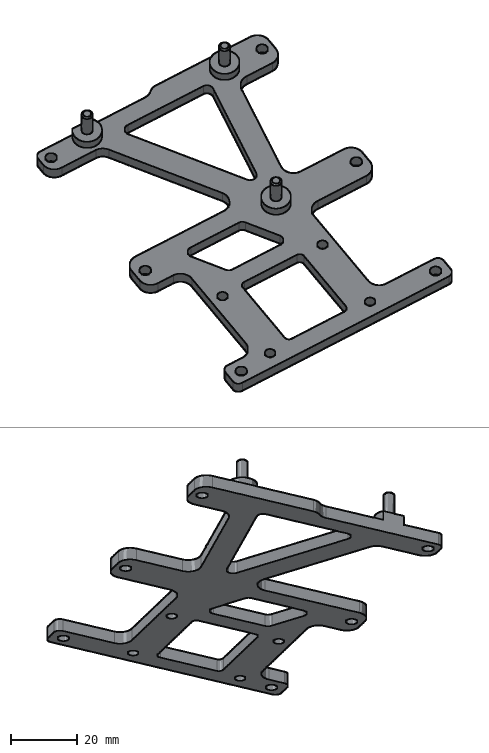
import cadquery as cq
import math


plate_thickness = 4.0
boss_top = 7.0
stud_top = 15.0

outer_radius = 4.0
small_radius = 2.0
window_radius = 1.5

arm_reach = 41.5
arm_hole_y = 38.0
right_arm_reach = 39.25
right_arm_hole_y = 35.0
left_x = -57.57
plate_length = 109.62
right_x = left_x + plate_length
lower_left_x = -55.5
lower_arm_inner_x = -46.75
upper_arm_inner_x = -45.5
middle_left_x = -6.1
middle_right_x = 6.2
right_arm_inner_x = 44.0
left_hole_x = -51.7
right_hole_x = 48.15
arm_hole_diameter = 3.5

step_middle_y = 0.9
step_width = lower_left_x - left_x
step_angle = math.acos(1 - step_width / (2 * outer_radius))
step_corner_rise = step_width / 2 / math.tan(step_angle)

panel_top_y = 16.0
panel_bottom_y = -28.0
web_width = 6.0
window_length = 26.0
window_width = 22.0
window_right_x = right_x - web_width
window_left_x = window_right_x - window_length
window_top_y = 5.0
window_bottom_y = window_top_y - window_width
panel_hole_x = (21.0, 47.15)
panel_hole_y = (12.05, -23.95)
panel_hole_diameter = 3.2

strut_width = 7.9
upper_strut_angle = math.radians(-11.4)
lower_strut_angle = math.radians(30.8)
upper_strut_end_y = 17.1
lower_strut_end_y = 1.25
triangle_left_x = -49.5

slot_left_x = 0.15
slot_right_x = window_left_x - web_width
slot_angle = lower_strut_angle

stud_centers = ((left_hole_x, 24.45), (0.0, 9.1), (-52.6, -24.45))
boss_diameter = 9.0
stud_diameter = 3.4
stud_chamfer = 0.5


def upper_strut_y(x):
    """Outer edge of the upper strut."""
    return upper_strut_end_y + (x - middle_left_x) * math.tan(upper_strut_angle)


def lower_strut_y(x):
    """Outer edge of the lower strut."""
    return lower_strut_end_y + (x - middle_left_x) * math.tan(lower_strut_angle)


def rounded_prism(corners, height):
    """Extrude a closed polygon of (x, y, corner radius) with every corner rounded."""
    arcs = []
    for i, (x, y, radius) in enumerate(corners):
        corner = cq.Vector(x, y)
        before = (cq.Vector(*corners[i - 1][:2]) - corner).normalized()
        after = (cq.Vector(*corners[(i + 1) % len(corners)][:2]) - corner).normalized()
        half_angle = before.getAngle(after) / 2
        setback = radius / math.tan(half_angle)
        middle_distance = radius / math.sin(half_angle) - radius
        middle = corner + (before + after).normalized() * middle_distance
        arcs.append((corner + before * setback, middle, corner + after * setback))

    shortest_line = 1e-4
    edges = []
    for i, (start, middle, end) in enumerate(arcs):
        previous_end = arcs[i - 1][2]
        if (start - previous_end).Length > shortest_line:
            edges.append(cq.Edge.makeLine(previous_end, start))
        edges.append(cq.Edge.makeThreePointArc(start, middle, end))
    outline = cq.Wire.assembleEdges(edges)
    return cq.Workplane("XY").add(outline).toPending().extrude(height)


def make_outline_prism(height):
    """Outer outline of the plate, without its openings."""
    return rounded_prism(
        [
            (lower_left_x, -arm_reach, small_radius),
            (lower_left_x, step_middle_y - step_corner_rise, outer_radius),
            (left_x, step_middle_y + step_corner_rise, outer_radius),
            (left_x, arm_reach, outer_radius),
            (upper_arm_inner_x, arm_reach, outer_radius),
            (upper_arm_inner_x, upper_strut_y(upper_arm_inner_x), outer_radius),
            (middle_left_x, upper_strut_end_y, outer_radius),
            (middle_left_x, arm_reach, outer_radius),
            (middle_right_x, arm_reach, outer_radius),
            (middle_right_x, panel_top_y, outer_radius),
            (right_arm_inner_x, panel_top_y, outer_radius),
            (right_arm_inner_x, right_arm_reach, small_radius),
            (right_x, right_arm_reach, small_radius),
            (right_x, -right_arm_reach, small_radius),
            (right_arm_inner_x, -right_arm_reach, small_radius),
            (right_arm_inner_x, panel_bottom_y, outer_radius),
            (middle_right_x, panel_bottom_y, outer_radius),
            (middle_right_x, -arm_reach, outer_radius),
            (middle_left_x, -arm_reach, outer_radius),
            (middle_left_x, lower_strut_end_y, outer_radius),
            (lower_arm_inner_x, lower_strut_y(lower_arm_inner_x), outer_radius),
            (lower_arm_inner_x, -arm_reach, outer_radius),
        ],
        height,
    )


def make_triangle_opening():
    """Opening between the two struts."""
    upper_drop = strut_width / math.cos(upper_strut_angle)
    lower_rise = strut_width / math.cos(lower_strut_angle)
    top_y = upper_strut_y(triangle_left_x) - upper_drop
    bottom_y = lower_strut_y(triangle_left_x) + lower_rise
    closing_slope = math.tan(lower_strut_angle) - math.tan(upper_strut_angle)
    tip_x = triangle_left_x + (top_y - bottom_y) / closing_slope
    tip_y = upper_strut_y(tip_x) - upper_drop
    return rounded_prism(
        [
            (triangle_left_x, bottom_y, small_radius),
            (triangle_left_x, top_y, small_radius),
            (tip_x, tip_y, small_radius),
        ],
        plate_thickness,
    )


def make_slot():
    """Parallelogram slot whose right side is as tall as the window."""
    slant = (slot_right_x - slot_left_x) * math.tan(slot_angle)
    return rounded_prism(
        [
            (slot_left_x, window_bottom_y - slant, small_radius),
            (slot_left_x, window_top_y - slant, small_radius),
            (slot_right_x, window_top_y, small_radius),
            (slot_right_x, window_bottom_y, small_radius),
        ],
        plate_thickness,
    )


def make_window():
    return rounded_prism(
        [
            (window_left_x, window_bottom_y, window_radius),
            (window_left_x, window_top_y, window_radius),
            (window_right_x, window_top_y, window_radius),
            (window_right_x, window_bottom_y, window_radius),
        ],
        plate_thickness,
    )


def make_holes(centers, diameter):
    return cq.Workplane("XY").pushPoints(centers).circle(diameter / 2).extrude(plate_thickness)


def make_boss(center):
    """Round boss on the plate, trimmed flush with the plate outline where it overhangs."""
    boss = cq.Workplane("XY").center(*center).circle(boss_diameter / 2).extrude(boss_top)
    return boss.intersect(make_outline_prism(boss_top))


def make_stud(center):
    stud = cq.Workplane("XY").center(*center).circle(stud_diameter / 2).extrude(stud_top)
    return stud.faces(">Z").chamfer(stud_chamfer)


arm_holes = [(x, y) for x in (left_hole_x, 0.0) for y in (arm_hole_y, -arm_hole_y)]
arm_holes += [(right_hole_x, y) for y in (right_arm_hole_y, -right_arm_hole_y)]
panel_holes = [(x, y) for x in panel_hole_x for y in panel_hole_y]

result = make_outline_prism(plate_thickness)
for opening in (make_triangle_opening(), make_slot(), make_window()):
    result = result.cut(opening)
result = result.cut(make_holes(arm_holes, arm_hole_diameter))
result = result.cut(make_holes(panel_holes, panel_hole_diameter))
for stud_center in stud_centers:
    result = result.union(make_boss(stud_center)).union(make_stud(stud_center))